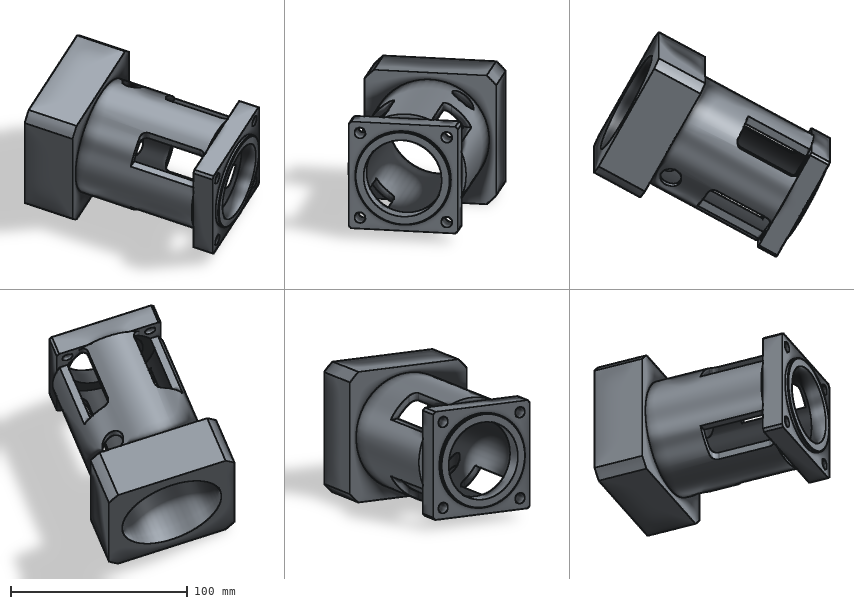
import cadquery as cq

block_width = 76.0
block_length = 30.0
block_corner_diameter = 100.0

body_diameter = 68.0
body_end = 102.5
main_bore_diameter = 60.0
main_bore_recess = 5.0
main_bore_end = body_end + main_bore_recess

plate_width = 63.0
plate_thickness = 12.0
plate_corner_diameter = 87.0
plate_bore_diameter = 45.0
plate_end = body_end + plate_thickness
spigot_diameter = 55.0
spigot_length = 2.0
spigot_chamfer = 0.5
overall_length = plate_end + spigot_length

bolt_hole_diameter = 6.2
bolt_spacing = 50.0

window_length = 40.0
window_start = body_end - window_length
window_inner_y = 14.0
window_inner_z = 16.5
window_corner_radius = 4.0

cross_hole_diameter = 12.0
cross_hole_x = 40.25
cross_hole_y = 20.75


def rod(diameter, start, end):
    """Cylinder on the X axis between two stations."""
    return cq.Workplane("YZ", origin=(start, 0, 0)).circle(diameter / 2).extrude(end - start)


def rounded_corner_square(width, corner_diameter, start, end):
    """Square prism on the X axis whose corners are turned to a common diameter."""
    square = cq.Workplane("YZ", origin=(start, 0, 0)).rect(width, width).extrude(end - start)
    return square.intersect(rod(corner_diameter, start, end))


def window_cutter(y_side, z_side):
    """Box opening one corner of the tube, rounded along its edges next to the centre plane."""
    reach = body_diameter / 2
    y_depth = reach - window_inner_y
    z_depth = reach - window_inner_z
    box = cq.Workplane("XY").box(window_length, y_depth, z_depth)
    inner_side = "<Y" if y_side > 0 else ">Y"
    box = box.faces(inner_side).edges("|Z").fillet(window_corner_radius)
    return box.translate((
        window_start + window_length / 2,
        y_side * (window_inner_y + y_depth / 2),
        z_side * (window_inner_z + z_depth / 2),
    ))


def outer_shape():
    """Block, tube, flange plate and spigot before any holes."""
    block = rounded_corner_square(block_width, block_corner_diameter, 0, block_length)
    body = rod(body_diameter, 0, body_end)
    plate = rounded_corner_square(plate_width, plate_corner_diameter, body_end, plate_end)
    spigot = rod(spigot_diameter, body_end, overall_length)
    spigot = spigot.faces(">X").edges().chamfer(spigot_chamfer)
    return block.union(body).union(plate).union(spigot)


def cut_bores(part):
    """Wide bore ending partway into the flange plate, narrower bore through the rest."""
    part = part.cut(rod(main_bore_diameter, 0, main_bore_end))
    return part.cut(rod(plate_bore_diameter, 0, overall_length))


def cut_windows(part):
    """One window in each quadrant of the tube."""
    for y_side in (-1, 1):
        for z_side in (-1, 1):
            part = part.cut(window_cutter(y_side, z_side))
    return part


def cut_bolt_holes(part):
    """Four bolt holes in a square pattern through the flange plate."""
    holes = (
        cq.Workplane("YZ", origin=(body_end, 0, 0))
        .rect(bolt_spacing, bolt_spacing, forConstruction=True)
        .vertices()
        .circle(bolt_hole_diameter / 2)
        .extrude(plate_thickness)
    )
    return part.cut(holes)


def cut_cross_hole(part):
    """Off-centre hole running vertically through both walls of the tube."""
    hole = (
        cq.Workplane("XY")
        .center(cross_hole_x, cross_hole_y)
        .circle(cross_hole_diameter / 2)
        .extrude(body_diameter / 2, both=True)
    )
    return part.cut(hole)


result = outer_shape()
result = cut_bores(result)
result = cut_windows(result)
result = cut_bolt_holes(result)
result = cut_cross_hole(result)